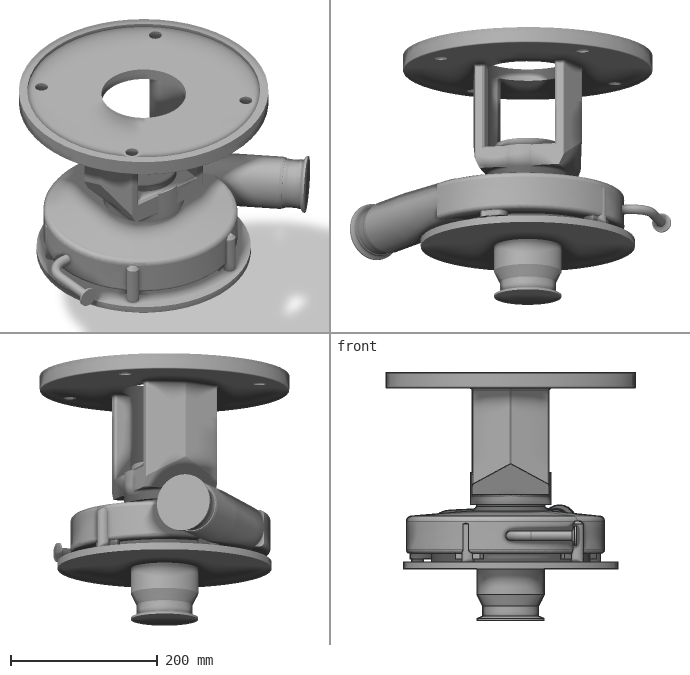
import cadquery as cq
import math

total_height = 337.5
plate_thickness = 21.0
plate_bottom = total_height - plate_thickness
base_bottom, base_top = 70.5, 79.8
casing_bottom, casing_top = 91.6, 142.2
cone_top = 149.5
hub_bottom, hub_top = 158.0, 201.5
seal_top = 212.7
overlap = 1.0

plate_radius = 170.0
recess_radius, recess_depth = 158.5, 5.0
bore_radius = 57.5
bolt_circle_radius = 140.0
bolt_hole_radius = 8.75
plate_edge_round = 1.5

bracket_half_width = 52.5
ridge_y, shoulder_y = 75.5, 62.0
window_half_width = 49.0
bracket_bottom = 171.5
slope_start_z, slope_foot_y = 213.6, 55.5
bracket_round = 2.5
window_chamfer = 3.0
hub_fillet = 2.5
leg_root_fillet = 3.0
hub_radius = 55.0
seal_radius, seal_chamfer = 45.0, 1.5
neck_radius = 46.5
neck_flare_radius, neck_flare_top = 52.0, 155.0

volute_start_radius = 128.0
volute_growth = 18.5
volute_start_angle = -math.pi / 4
spiral_steps = 12
casing_top_round, casing_bottom_round = 7.0, 5.0
cone_bottom_radius = volute_start_radius - casing_top_round
skirt_radius = 108.0

base_radius = 146.0
post_count = 5
post_radius, post_circle_radius = 8.2, 128.3
post_first_angle = 27.0
post_top = 135.5
lug_radius, lug_circle_radius = 19.0, 123.0
lug_bottom = 84.0

inlet_radius, inlet_end_radius = 46.0, 38.2
inlet_taper_top, inlet_taper_bottom = 35.5, 20.0
inlet_rim_radius = 45.75

outlet_axis_offset = 115.0
outlet_z = 118.5
outlet_root_radius, outlet_radius, outlet_end_radius = 32.0, 35.7, 33.0
outlet_rim_radius = 38.75
outlet_taper_end, outlet_length = 107.0, 210.5
outlet_round_start, outlet_step = 175.5, 180.0
outlet_shoulder_radius, outlet_collar_radius = 34.8, 33.8
outlet_collar_end, outlet_neck_start = 182.2, 186.3
outlet_bead_start = 200.0

tube_radius = 6.5
tube_z = 115.5
tube_bend_radius = 28.0
tube_y = -167.0
tube_root_y = -125.0
tube_end_x = 89.5
tube_rim_radius = 13.0

rim_thickness = 2.8
rim_bevel = 3.2


def cylinder(radius, bottom, top):
    return cq.Workplane("XY").workplane(offset=bottom).circle(radius).extrude(top - bottom)


def revolve_about_z(profile):
    """Revolve (radius, height) points that start and end on the axis."""
    return cq.Workplane("XZ").polyline(profile).close().revolve(360, (0, 0, 0), (0, 1, 0))


def ring_points(radius, first_angle, count):
    """Evenly spaced points on a circle about the pump axis."""
    angles = [math.radians(first_angle + 360.0 * i / count) for i in range(count)]
    return [(radius * math.cos(a), radius * math.sin(a)) for a in angles]


def mounting_plate():
    plate = cylinder(plate_radius, plate_bottom, total_height)
    plate = plate.faces("<Z").edges().fillet(plate_edge_round)
    plate = plate.cut(cylinder(recess_radius, total_height - recess_depth, total_height))
    holes = (
        cq.Workplane("XY")
        .workplane(offset=plate_bottom)
        .pushPoints(ring_points(bolt_circle_radius, 45, 4))
        .circle(bolt_hole_radius)
        .extrude(plate_thickness)
    )
    return plate.cut(holes)


def bracket():
    """Two V-backed legs on a common block, hollowed by a window and the bore."""
    outline = [
        (bracket_half_width, -shoulder_y),
        (bracket_half_width, shoulder_y),
        (0, ridge_y),
        (-bracket_half_width, shoulder_y),
        (-bracket_half_width, -shoulder_y),
        (0, -ridge_y),
    ]
    legs_top = plate_bottom + overlap
    block = (
        cq.Workplane("XY")
        .workplane(offset=bracket_bottom)
        .polyline(outline)
        .close()
        .extrude(legs_top - bracket_bottom)
        .edges("|Z")
        .fillet(bracket_round)
    )
    side_profile = [
        (slope_foot_y, bracket_bottom),
        (ridge_y, slope_start_z),
        (ridge_y, legs_top),
        (-ridge_y, legs_top),
        (-ridge_y, slope_start_z),
        (-slope_foot_y, bracket_bottom),
    ]
    block = block.intersect(
        cq.Workplane("YZ").polyline(side_profile).close().extrude(bracket_half_width, both=True)
    )
    block = block.union(cylinder(hub_radius, hub_bottom, hub_top + overlap))
    underside = cq.selectors.BoxSelector(
        (-plate_radius, -plate_radius, bracket_bottom - overlap),
        (plate_radius, plate_radius, bracket_bottom + overlap),
    )
    block = block.edges(underside).edges("%CIRCLE").fillet(hub_fillet)
    window_height = legs_top - hub_top
    window = (
        cq.Workplane("XY")
        .workplane(offset=hub_top)
        .rect(2 * plate_radius, 2 * window_half_width)
        .extrude(window_height)
    )
    block = block.cut(window)
    for side in (-1, 1):
        block = block.cut(window_bevel(side))
    return block


def window_bevel(side):
    """Flared prism that chamfers the window where it meets one side face."""
    height = plate_bottom - hub_top
    flared_height = height + window_chamfer
    return (
        cq.Workplane("YZ")
        .workplane(offset=side * (bracket_half_width - window_chamfer))
        .center(0, hub_top + height / 2)
        .rect(2 * window_half_width, height)
        .workplane(offset=side * window_chamfer)
        .center(0, -window_chamfer / 2)
        .rect(2 * (window_half_width + window_chamfer), flared_height)
        .loft(ruled=True)
    )


def spiral_half(bottom, top, inset=0):
    """Half disc whose radius grows steadily with the angle, clockwise."""

    def spiral(t):
        radius = volute_start_radius - inset + volute_growth * t
        angle = volute_start_angle - math.pi * t
        return (radius * math.cos(angle), radius * math.sin(angle))

    return (
        cq.Workplane("XY")
        .workplane(offset=bottom)
        .spline([spiral(i / spiral_steps) for i in range(spiral_steps + 1)])
        .close()
        .extrude(top - bottom)
    )


def round_outer_edges(body):
    body = body.faces(">Z").edges("not %LINE").fillet(casing_top_round)
    return body.faces("<Z").edges("not %LINE").fillet(casing_bottom_round)


def casing_cone():
    """Shallow cone from the neck to the rim, stretched on the spiral half to follow it."""
    round_cone = revolve_about_z([
        (0, casing_top),
        (cone_bottom_radius, casing_top),
        (neck_flare_radius, cone_top),
        (0, cone_top),
    ])
    rim_shift = volute_growth / 2
    toward_outlet = (
        -rim_shift * math.cos(volute_start_angle),
        -rim_shift * math.sin(volute_start_angle),
    )
    wide_cone = (
        cq.Workplane("XY")
        .workplane(offset=casing_top)
        .center(*toward_outlet)
        .circle(cone_bottom_radius + rim_shift)
        .workplane(offset=cone_top - casing_top)
        .center(-toward_outlet[0], -toward_outlet[1])
        .circle(neck_flare_radius)
        .loft(ruled=True)
    )
    return round_cone.union(wide_cone.intersect(spiral_half(casing_top, cone_top)))


def casing():
    round_half = cylinder(volute_start_radius, casing_bottom, casing_top)
    body = round_outer_edges(round_half)
    body = body.union(round_outer_edges(spiral_half(casing_bottom, casing_top)))
    body = body.union(casing_cone())
    neck = revolve_about_z([
        (0, cone_top - overlap),
        (neck_flare_radius, cone_top - overlap),
        (neck_flare_radius, cone_top),
        (neck_radius, neck_flare_top),
        (neck_radius, hub_bottom + overlap),
        (0, hub_bottom + overlap),
    ])
    skirt = cylinder(skirt_radius, base_top - overlap, casing_bottom + overlap)
    return body.union(neck).union(skirt).union(lugs())


def lugs():
    """Pads under the casing at the posts, trimmed to the flat of the casing floor."""
    lug_top = casing_bottom + casing_bottom_round
    inset = casing_bottom_round
    outline = cylinder(volute_start_radius - inset, lug_bottom, lug_top)
    outline = outline.union(spiral_half(lug_bottom, lug_top, inset))
    pads = (
        cq.Workplane("XY")
        .workplane(offset=lug_bottom)
        .pushPoints(ring_points(lug_circle_radius, post_first_angle, post_count))
        .circle(lug_radius)
        .extrude(lug_top - lug_bottom)
    )
    return pads.intersect(outline)


def base():
    plate = cylinder(base_radius, base_bottom, base_top)
    for x, y in ring_points(post_circle_radius, post_first_angle, post_count):
        post = cylinder(post_radius, base_top - overlap, post_top)
        post = post.faces(">Z").edges().chamfer(post_radius / 2)
        plate = plate.union(post.translate((x, y, 0)))
    return plate


def inlet():
    return revolve_about_z([
        (0, 0),
        (inlet_rim_radius, 0),
        (inlet_rim_radius, rim_thickness),
        (inlet_end_radius, rim_thickness + rim_bevel),
        (inlet_end_radius, inlet_taper_bottom),
        (inlet_radius, inlet_taper_top),
        (inlet_radius, base_bottom + overlap),
        (0, base_bottom + overlap),
    ])


def outlet():
    """Tapered pipe with a ball-shaped root at the casing, a stepped neck and a clamp rim."""
    rim_back = outlet_length - rim_thickness
    pipe = revolve_about_z([
        (0, 0),
        (outlet_root_radius, 0),
        (outlet_radius, outlet_taper_end),
        (outlet_radius, outlet_round_start),
        (outlet_shoulder_radius, outlet_step),
        (outlet_collar_radius, outlet_step),
        (outlet_collar_radius, outlet_collar_end),
        (outlet_end_radius, outlet_neck_start),
        (outlet_end_radius, outlet_bead_start),
        (outlet_collar_radius, outlet_bead_start),
        (outlet_collar_radius, rim_back - rim_bevel),
        (outlet_rim_radius, rim_back),
        (outlet_rim_radius, outlet_length),
        (0, outlet_length),
    ])
    pipe = pipe.union(cq.Workplane("XY").sphere(outlet_root_radius))
    pipe = pipe.rotate((0, 0, 0), (0, 1, 0), 90)
    pipe = pipe.translate((0, outlet_axis_offset, outlet_z))
    return pipe.rotate((0, 0, 0), (0, 0, 1), 45)


def drain_tube():
    """Tube leaving the casing toward -Y, bending to +X and ending in a clamp rim."""
    bend_start_y = tube_y + tube_bend_radius
    bend_inset = tube_bend_radius * (1 - math.sqrt(0.5))
    path = (
        cq.Workplane("XY", origin=(0, 0, tube_z))
        .moveTo(0, tube_root_y)
        .lineTo(0, bend_start_y)
        .threePointArc((bend_inset, tube_y + bend_inset), (tube_bend_radius, tube_y))
        .lineTo(tube_end_x - overlap, tube_y)
    )
    tube = cq.Workplane("XZ", origin=(0, tube_root_y, tube_z)).circle(tube_radius).sweep(path)
    rim = revolve_about_z([
        (0, -rim_thickness - rim_bevel),
        (tube_radius, -rim_thickness - rim_bevel),
        (tube_rim_radius, -rim_thickness),
        (tube_rim_radius, 0),
        (0, 0),
    ])
    rim = rim.rotate((0, 0, 0), (0, 1, 0), 90).translate((tube_end_x, tube_y, tube_z))
    return tube.union(rim)


def seal_cover():
    cover = cylinder(seal_radius, hub_top - overlap, seal_top)
    return cover.faces(">Z").edges().chamfer(seal_chamfer)


def upper_frame():
    """Mounting plate and bracket with filleted leg roots and the common bore."""
    frame = mounting_plate().union(bracket())
    leg_roots = cq.selectors.BoxSelector(
        (-bracket_half_width - overlap, -ridge_y - overlap, plate_bottom - overlap),
        (bracket_half_width + overlap, ridge_y + overlap, plate_bottom + overlap),
    )
    frame = frame.edges(leg_roots).fillet(leg_root_fillet)
    return frame.cut(cylinder(bore_radius, hub_top, total_height))


lower = casing().union(base()).union(inlet()).union(outlet()).union(drain_tube())
result = lower.union(upper_frame()).union(seal_cover())